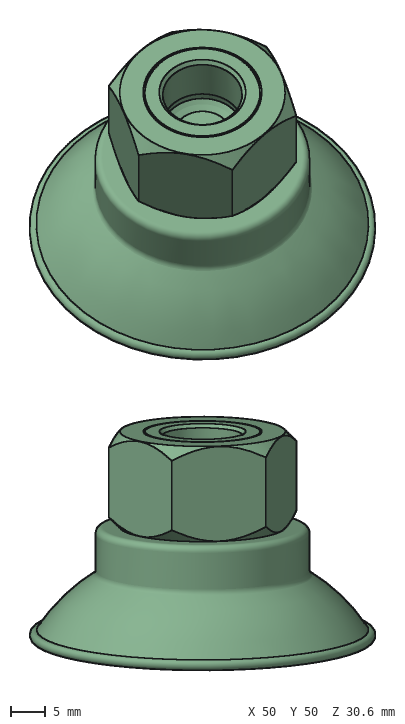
import cadquery as cq
import math

rim_height = 1.5
collar_top_height = 16.65
overall_height = 30.65

cup_radius = 25.0
rim_round = rim_height / 2
dome_foot_radius = 24.0
dome_mid_radius = 20.2
dome_mid_height = 6.05
dome_top_radius = 15.85
dome_top_height = 9.5
collar_radius = 15.5
collar_foot_height = 10.25
collar_foot_mid_radius = 15.6
collar_foot_mid_height = 9.85
collar_round = 1.0

nut_height = overall_height - collar_top_height
across_flats = 24.0
nut_face_diameter = 23.9
recess_depth = nut_height / 2
recess_chamfer = 0.25

bore_diameter = 11.45
bore_depth = 8.0
bore_step_diameter = 10.0
bore_step_drop = 0.45
bore_floor_diameter = 8.0
bore_floor_drop = 0.4

bush_diameter = 16.65
bush_mouth_diameter = 12.5


def make_cup():
    """Rubber cup: rounded rim, bulging skirt and a round collar, turned about Z."""
    profile = (
        cq.Workplane("XZ")
        .lineTo(cup_radius - rim_round, 0)
        .threePointArc((cup_radius, rim_round), (cup_radius - rim_round, rim_height))
        .lineTo(dome_foot_radius, rim_height)
        .threePointArc((dome_mid_radius, dome_mid_height), (dome_top_radius, dome_top_height))
        .threePointArc(
            (collar_foot_mid_radius, collar_foot_mid_height),
            (collar_radius, collar_foot_height),
        )
        .lineTo(collar_radius, collar_top_height)
        .lineTo(0, collar_top_height)
        .close()
    )
    cup = profile.revolve(360, (0, 0, 0), (0, 1, 0))
    return cup.faces(">Z").edges().fillet(collar_round)


def make_bush_recess():
    """Space for the bush in the top of the nut, widened by a chamfer at the nut's top face."""
    recess_radius = bush_diameter / 2
    mouth_radius = recess_radius + recess_chamfer
    profile = (
        cq.Workplane("XZ")
        .moveTo(0, overall_height - recess_depth)
        .lineTo(recess_radius, overall_height - recess_depth)
        .lineTo(recess_radius, overall_height - recess_chamfer)
        .lineTo(mouth_radius, overall_height)
        .lineTo(0, overall_height)
        .close()
    )
    return profile.revolve(360, (0, 0, 0), (0, 1, 0))


def make_bore():
    """Space of the blind bore: a straight wall, then two cones down to a flat floor."""
    wall_bottom = overall_height - bore_depth
    step_height = wall_bottom - bore_step_drop
    floor_height = step_height - bore_floor_drop
    profile = (
        cq.Workplane("XZ")
        .moveTo(0, floor_height)
        .lineTo(bore_floor_diameter / 2, floor_height)
        .lineTo(bore_step_diameter / 2, step_height)
        .lineTo(bore_diameter / 2, wall_bottom)
        .lineTo(bore_diameter / 2, overall_height)
        .lineTo(0, overall_height)
        .close()
    )
    return profile.revolve(360, (0, 0, 0), (0, 1, 0))


def make_nut():
    """Hexagon nut with its corners turned down at both ends, recessed for the bush and bored."""
    corner_diameter = across_flats / math.cos(math.pi / 6)
    corner_chamfer = (corner_diameter - nut_face_diameter) / 2
    nut_base = cq.Workplane("XY").workplane(offset=collar_top_height)
    hexagon = nut_base.polygon(6, corner_diameter).extrude(nut_height)
    turned_blank = nut_base.circle(corner_diameter / 2).extrude(nut_height)
    turned_blank = turned_blank.faces("<Z or >Z").edges().chamfer(corner_chamfer)
    return hexagon.intersect(turned_blank).cut(make_bush_recess()).cut(make_bore())


def make_bush():
    """Threaded bush: a ring with the bore's diameter inside and a chamfered mouth on top."""
    bush_base = cq.Workplane("XY").workplane(offset=overall_height - recess_depth)
    ring = bush_base.circle(bush_diameter / 2).circle(bore_diameter / 2).extrude(recess_depth)
    mouth_chamfer = (bush_mouth_diameter - bore_diameter) / 2
    return ring.faces(">Z").edges(cq.selectors.RadiusNthSelector(0)).chamfer(mouth_chamfer)


cup = make_cup().solids()
nut = make_nut().solids()
bush = make_bush().solids()

result = cq.Compound.makeCompound([cup.val(), nut.val(), bush.val()])